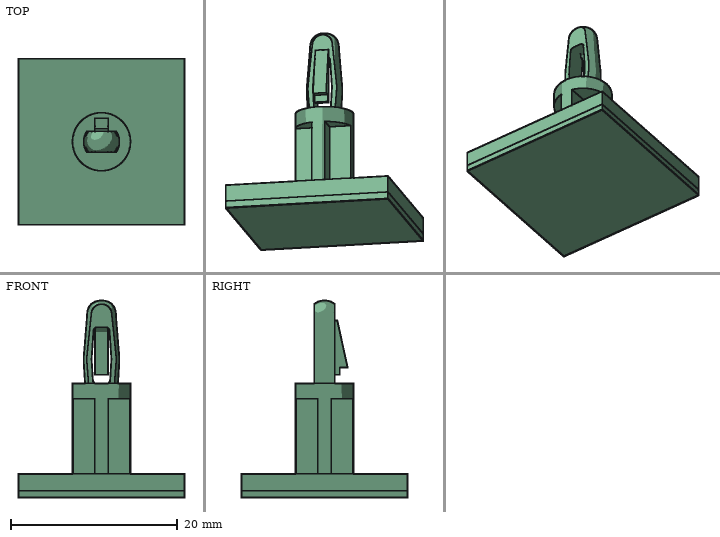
import cadquery as cq

plate_side = 20.0
liner_thickness = 0.09
tape_thickness = 0.8
base_thickness = 2.0

post_height = 10.9
collar_diameter = 7.0
collar_height = 1.85
arm_width = 1.6

pin_height = 10.0
pin_depth = 2.5
pin_root_radius = 2.0
pin_waist_radius = 2.18
pin_waist_height = 2.95
pin_tip_radius = 1.62
tip_rounding = 1.6
waist_rounding = 5.0

leg_thickness = 1.0
slot_top = 6.8
slot_top_half_width = 0.92
slot_dip = 0.05
slot_corner_radius = 0.5

tongue_width = 1.6
tongue_thickness = 0.6
tongue_root_radius = 1.15
tongue_bottom = 1.05
tongue_top = 7.6
tongue_top_reach = 0.3
catch_height = 1.9
catch_reach = 1.55

tape_bottom = liner_thickness
base_bottom = tape_bottom + tape_thickness
base_top = base_bottom + base_thickness
collar_top = base_top + post_height
collar_bottom = collar_top - collar_height
pin_back = pin_depth / 2


def square_plate(bottom, thickness):
    """One square layer of the adhesive base."""
    plane = cq.Workplane("XY").workplane(offset=bottom)
    return plane.rect(plate_side, plate_side).extrude(thickness)


def make_post():
    """Two crossed arms with round ends, capped by the collar."""
    arm_height = collar_bottom - base_top
    foot = cq.Workplane("XY").workplane(offset=base_top)
    envelope = foot.circle(collar_diameter / 2).extrude(arm_height)
    arm_x = foot.rect(collar_diameter, arm_width).extrude(arm_height)
    arm_y = foot.rect(arm_width, collar_diameter).extrude(arm_height)
    collar = (
        cq.Workplane("XY")
        .workplane(offset=collar_bottom)
        .circle(collar_diameter / 2)
        .extrude(collar_height)
    )
    return arm_x.union(arm_y).intersect(envelope).union(collar)


def make_pin_body():
    """Solid pin standing on z = 0, before it is slotted."""
    turned = (
        cq.Workplane("XZ")
        .moveTo(0, 0)
        .lineTo(pin_root_radius, 0)
        .lineTo(pin_waist_radius, pin_waist_height)
        .lineTo(pin_tip_radius, pin_height)
        .lineTo(0, pin_height)
        .close()
        .revolve(360, (0, 0, 0), (0, 1, 0))
    )
    waist_edge = cq.selectors.RadiusNthSelector(-1)
    turned = turned.edges(waist_edge).fillet(waist_rounding)
    turned = turned.faces(">Z").edges().fillet(tip_rounding)
    slab = cq.Workplane("XY").box(
        2 * pin_waist_radius, pin_depth, pin_height, centered=(True, True, False)
    )
    return turned.intersect(slab)


def make_slot():
    """Through slot that follows the double taper of the pin."""
    root_half_width = pin_root_radius - leg_thickness
    waist_half_width = pin_waist_radius - leg_thickness
    outline = [
        (-root_half_width, -slot_dip),
        (root_half_width, -slot_dip),
        (waist_half_width, pin_waist_height),
        (slot_top_half_width, slot_top),
        (-slot_top_half_width, slot_top),
        (-waist_half_width, pin_waist_height),
    ]
    slot = cq.Workplane("XZ").polyline(outline).close().extrude(pin_depth, both=True)
    return slot.edges("|Y").edges("<Z or >Z").fillet(slot_corner_radius)


def make_tongue():
    """Sloped tongue with a stepped catch, rounded into the slot ceiling."""
    step_back = pin_back + tongue_thickness
    catch_tip = pin_back + catch_reach
    root_front = pin_back - tongue_root_radius
    root_bottom = slot_top - tongue_root_radius
    return (
        cq.Workplane("YZ")
        .moveTo(pin_back, tongue_bottom)
        .lineTo(step_back, tongue_bottom)
        .lineTo(step_back, catch_height)
        .lineTo(catch_tip, catch_height)
        .lineTo(pin_back + tongue_top_reach, tongue_top)
        .lineTo(pin_back, tongue_top)
        .lineTo(root_front, tongue_top)
        .lineTo(root_front, slot_top)
        .radiusArc((pin_back, root_bottom), tongue_root_radius)
        .close()
        .extrude(tongue_width / 2, both=True)
    )


def make_snap_pin():
    pin = make_pin_body().cut(make_slot()).union(make_tongue())
    return pin.translate((0, 0, collar_top))


liner = square_plate(0, liner_thickness)
tape = square_plate(tape_bottom, tape_thickness)
standoff = square_plate(base_bottom, base_thickness).union(make_post()).union(make_snap_pin())

result = cq.Compound.makeCompound([standoff.val(), tape.val(), liner.val()])